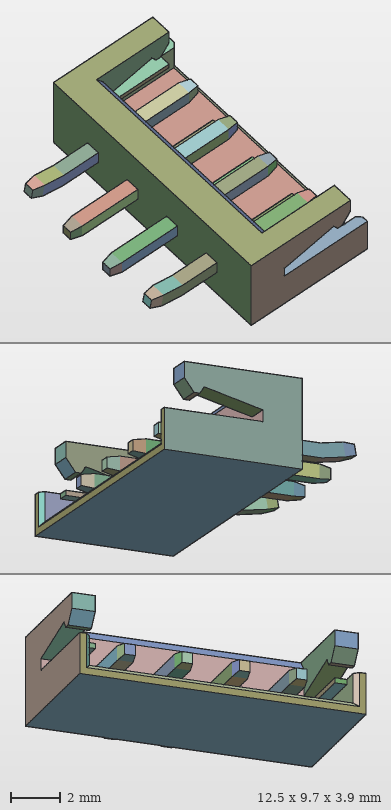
import cadquery as cq
import math


width = 12.5
depth = 6.2
height = 3.9
side_wall = 0.5
floor_z = 0.5
inner_front_y = 1.78
lead_in_run = 0.2
lead_in_flare = 0.2

arm_width = 1.02
arm_end_y = 5.3
shelf_top_z = 1.8
shelf_thickness = 0.22

wall_chamfer_run = 0.34
wall_chamfer_drop = 0.4

slot_end_z = 2.3
hook_root_y = 4.4
hook_root_z = 2.92
hook_tip_front_y = 4.6
hook_tip_back_y = 4.86
hook_tip_z = 2.62
hook_nose_z = 3.2

pin_count = 4
pin_pitch = 2.5
pin_width = 0.68
pin_height = 0.64
pin_z = 1.71
pin_back_y = 5.4
pin_reach = 3.5
bent_pin_reach = 3.46
tip_length = 0.55
tip_width = 0.46
tip_height = 0.48
bend_reach = 1.85
bend_angle = 10

rib_radius = 0.12


def block(x_min, x_max, y_min, y_max, z_min, z_max):
    size = (x_max - x_min, y_max - y_min, z_max - z_min)
    return cq.Workplane("XY").box(*size, centered=False).translate((x_min, y_min, z_min))


def side_profile(points, length):
    """Extrude a (Y, Z) outline along +X from X = 0."""
    return cq.Workplane("YZ").polyline(points).close().extrude(length)


def make_cavity():
    lower = block(side_wall, width - side_wall, inner_front_y, depth, floor_z, shelf_top_z - shelf_thickness)
    upper = block(arm_width, width - arm_width, inner_front_y, depth, floor_z, height)
    behind_shelves = block(side_wall, width - side_wall, arm_end_y, depth, floor_z, shelf_top_z)
    return lower.union(upper).union(behind_shelves)


def make_latch_slot():
    return side_profile(
        [
            (inner_front_y, shelf_top_z),
            (inner_front_y, slot_end_z),
            (hook_root_y, hook_root_z),
            (hook_tip_front_y, hook_tip_z),
            (hook_tip_back_y, hook_tip_z),
            (arm_end_y, hook_nose_z),
            (arm_end_y, height),
            (depth, height),
            (depth, shelf_top_z),
        ],
        width,
    )


def make_wall_chamfer():
    wedge = side_profile(
        [
            (inner_front_y, height),
            (inner_front_y - wall_chamfer_run, height),
            (inner_front_y, height - wall_chamfer_drop),
        ],
        width - 2 * arm_width,
    )
    return wedge.translate((arm_width, 0, 0))


def make_lead_in():
    """Flare of the cavity floor and side walls at the open back."""
    lead_in_start_y = depth - lead_in_run
    opening = width - 2 * side_wall
    opening_height = shelf_top_z - floor_z
    start = cq.Workplane("XZ", origin=(width / 2, lead_in_start_y, floor_z + opening_height / 2))
    flare = start.rect(opening, opening_height).workplane(offset=-lead_in_run)
    return flare.rect(opening + 2 * lead_in_flare, opening_height + 2 * lead_in_flare).loft()


def make_tip(y, z, direction_angle, toward_back=False):
    """Tapered pin end; the angle tilts its axis up from the horizontal."""
    angle = math.radians(direction_angle)
    axis_y = math.cos(angle) if toward_back else -math.cos(angle)
    plane = cq.Plane(origin=(0, y, z), xDir=(1, 0, 0), normal=(0, axis_y, math.sin(angle)))
    base = cq.Workplane(plane).rect(pin_width, pin_height)
    return base.workplane(offset=tip_length).rect(tip_width, tip_height).loft()


def make_pin(reach, angle):
    """Pin centred on X = 0; its part beyond the bend tilts up by the angle in degrees."""
    bend = math.radians(angle)
    half_height = pin_height / 2
    miter = half_height * math.tan(bend / 2)
    arm_length = reach - tip_length - bend_reach
    shaft_back_y = pin_back_y - tip_length
    end_y = -bend_reach - arm_length * math.cos(bend)
    end_z = pin_z + arm_length * math.sin(bend)
    corner_y = half_height * math.sin(bend)
    corner_z = half_height * math.cos(bend)
    upper_edge = [
        (shaft_back_y, pin_z + half_height),
        (-bend_reach + miter, pin_z + half_height),
        (end_y + corner_y, end_z + corner_z),
    ]
    lower_edge = [
        (end_y - corner_y, end_z - corner_z),
        (-bend_reach - miter, pin_z - half_height),
        (shaft_back_y, pin_z - half_height),
    ]
    outline = upper_edge + lower_edge
    shaft = side_profile(outline, pin_width).translate((-pin_width / 2, 0, 0))
    back_tip = make_tip(shaft_back_y, pin_z, 0, toward_back=True)
    return shaft.union(back_tip).union(make_tip(end_y, end_z, angle)).clean()


def make_rib():
    length = pin_back_y - inner_front_y
    plane = cq.Workplane("XZ", origin=(0, pin_back_y, floor_z))
    return plane.circle(rib_radius).extrude(length)


result = block(0, width, 0, depth, 0, height)
for cut in (make_cavity(), make_latch_slot(), make_wall_chamfer(), make_lead_in()):
    result = result.cut(cut)

first_pin_x = (width - (pin_count - 1) * pin_pitch) / 2
for index in range(pin_count):
    pin_x = first_pin_x + index * pin_pitch
    is_outer = index in (0, pin_count - 1)
    pin = make_pin(bent_pin_reach, bend_angle) if is_outer else make_pin(pin_reach, 0)
    result = result.union(pin.translate((pin_x, 0, 0)))
    if index < pin_count - 1:
        result = result.union(make_rib().translate((pin_x + pin_pitch / 2, 0, 0)))